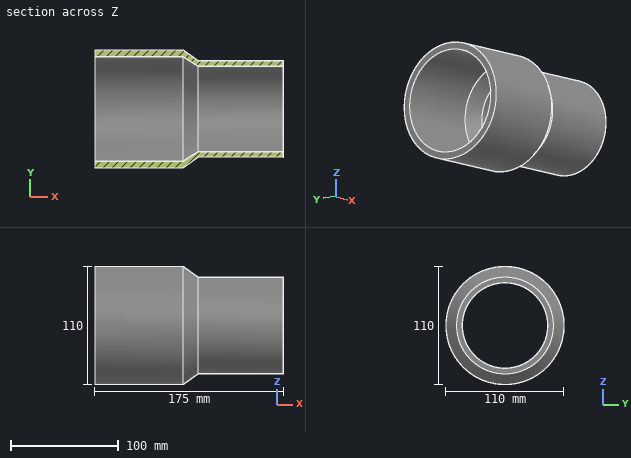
import cadquery as cq

total_length = 175.0
large_length = 82.0
taper_length = 14.0

large_outer_radius = 110.0 / 2
large_bore_radius = 96.8 / 2
small_outer_radius = 90.0 / 2
small_bore_radius = 79.2 / 2

taper_end = large_length + taper_length


def stepped_body(large_radius, small_radius):
    """Solid of revolution about X: large cylinder, cone, small cylinder."""
    return (
        cq.Workplane("XY")
        .moveTo(0, 0)
        .lineTo(0, large_radius)
        .lineTo(large_length, large_radius)
        .lineTo(taper_end, small_radius)
        .lineTo(total_length, small_radius)
        .lineTo(total_length, 0)
        .close()
        .revolve(360, (0, 0, 0), (1, 0, 0))
    )


outer_body = stepped_body(large_outer_radius, small_outer_radius)
bore = stepped_body(large_bore_radius, small_bore_radius)

result = outer_body.cut(bore)